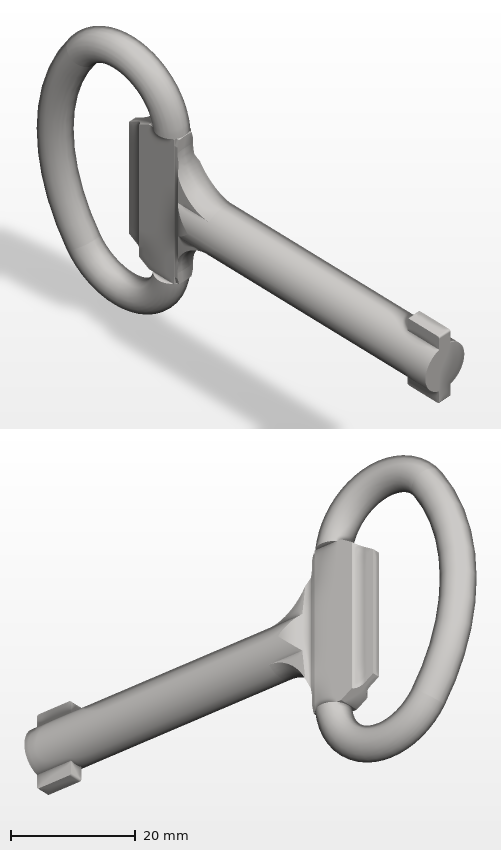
import cadquery as cq
import math

bar_radius = 3.0
ring_half_height = 27.48
ring_right = 32.0
end_bend_radius = 10.9
block_half_height = 15.0

blade_left = 20.15
ramp_start = 21.95
ramp_end = 23.6
block_right = 31.4
blade_half_thickness = 0.7
block_half_thickness = 2.0
corner_length = 5.7
corner_height = 3.4

total_length = 89.95
shaft_radius = 4.5
flare_radius = 8.1
flare_ellipse_half_height = 17.1
neck_overlap = 2.7
neck_half_thickness = 1.8
neck_ramp_start = 32.3
neck_ramp_middle = (33.7, 3.4)
neck_ramp_end = 36.9
bit_length = 7.1
bit_half_height = 6.9
bit_thickness = 2.6
bit_edge_radius = 0.4


def make_ring():
    left = bar_radius
    right = ring_right - bar_radius
    bend_x = right - end_bend_radius
    bend_z = ring_half_height - bar_radius - end_bend_radius
    run = bend_x - left
    wide_radius = (run**2 + bend_z**2 - end_bend_radius**2) / (2 * (run - end_bend_radius))
    wide_center = left + wide_radius
    bend_angle = math.atan2(bend_z, bend_x - wide_center)
    joint_x = wide_center + wide_radius * math.cos(bend_angle)
    joint_z = wide_radius * math.sin(bend_angle)
    top_z = bend_z + end_bend_radius
    path = (
        cq.Workplane("XZ")
        .moveTo(right, -bend_z)
        .threePointArc((bend_x, -top_z), (joint_x, -joint_z))
        .threePointArc((left, 0), (joint_x, joint_z))
        .threePointArc((bend_x, top_z), (right, bend_z))
    )
    start = cq.Workplane("XY", origin=(right, 0, -bend_z))
    return start.circle(bar_radius).sweep(path)


def make_block():
    profile = (
        cq.Workplane("XY")
        .moveTo(blade_left, 0)
        .lineTo(blade_left, blade_half_thickness)
        .lineTo(ramp_start, blade_half_thickness)
        .tangentArcPoint((ramp_end, block_half_thickness), relative=False)
        .lineTo(block_right, block_half_thickness)
        .lineTo(block_right, 0)
        .close()
        .extrude(block_half_height, both=True)
    )
    outline = (
        cq.Workplane("XZ")
        .moveTo(blade_left, 0)
        .lineTo(blade_left, block_half_height - corner_height)
        .lineTo(blade_left + corner_length, block_half_height)
        .lineTo(block_right, block_half_height)
        .lineTo(block_right, 0)
        .close()
        .extrude(block_half_thickness, both=True)
    )
    outline = outline.union(outline.mirror("XY"))
    return profile.union(profile.mirror("XZ")).intersect(outline)


def make_shaft():
    """Round shaft whose flared root is pinched to a thin neck."""
    root = block_right - neck_overlap
    flare_end = ring_right + flare_radius
    flare_top = shaft_radius + flare_radius
    diagonal = flare_radius * math.sqrt(0.5)
    flare = (
        cq.Workplane("XZ")
        .moveTo(root, 0)
        .lineTo(root, block_half_height)
        .lineTo(ring_right, block_half_height)
        .lineTo(ring_right, flare_top)
        .threePointArc((flare_end - diagonal, flare_top - diagonal), (flare_end, shaft_radius))
        .lineTo(flare_end, 0)
        .close()
        .revolve(360, (0, 0, 0), (1, 0, 0))
    )
    thickness = (
        cq.Workplane("XY")
        .moveTo(root, 0)
        .lineTo(root, neck_half_thickness)
        .lineTo(neck_ramp_start, neck_half_thickness)
        .threePointArc(neck_ramp_middle, (neck_ramp_end, shaft_radius))
        .lineTo(total_length, shaft_radius)
        .lineTo(total_length, 0)
        .close()
        .extrude(block_half_height, both=True)
    )
    flare_length = flare_end - root
    slim_flare = (
        cq.Workplane("YZ", origin=(root, 0, 0))
        .ellipse(bar_radius, flare_ellipse_half_height)
        .extrude(flare_length)
    )
    cylinder = cq.Workplane("YZ", origin=(root, 0, 0)).circle(shaft_radius).extrude(total_length - root)
    body = flare.intersect(slim_flare).union(cylinder)
    return body.intersect(thickness.union(thickness.mirror("XZ")))


def make_bits():
    """One bar through the shaft tip forms both key bits."""
    center_x = total_length - bit_length / 2
    bar = cq.Workplane("XY").box(bit_length, bit_thickness, 2 * bit_half_height)
    bar = bar.edges("|Y").fillet(bit_edge_radius)
    return bar.translate((center_x, 0, 0))


ring_gap = cq.Workplane("XY").box(
    4 * bar_radius, 4 * bar_radius, 2 * block_half_height
).translate((ring_right - bar_radius, 0, 0))
ring = make_ring().cut(ring_gap)
result = ring.union(make_block()).union(make_shaft()).union(make_bits())